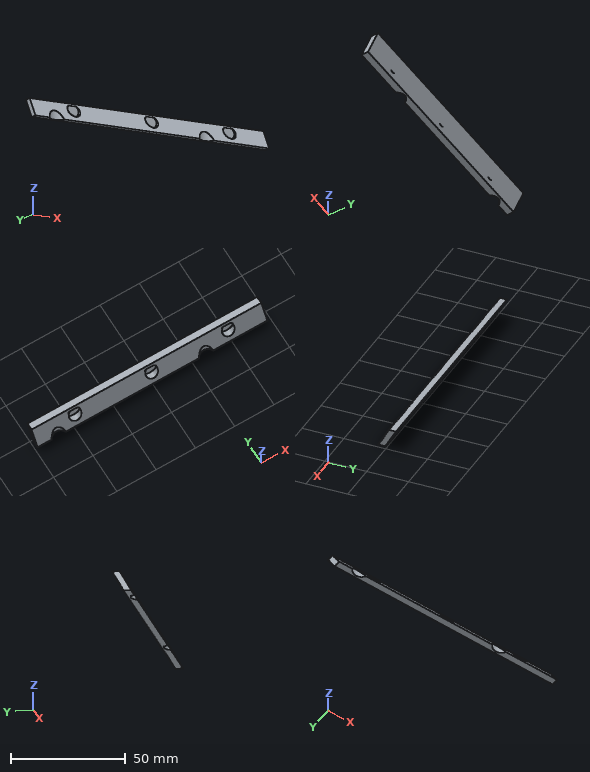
import cadquery as cq

length = 117.0
overall_depth = 8.7
height = 9.0
edge_width = 3.5
lean = overall_depth - edge_width

pocket_diameter = 6.1
pocket_first_x = 21.0
pocket_spacing = 39.0
pocket_count = 3
pocket_z = 5.4
pocket_floor_y = 4.5

notch_radius = 4.0
notch_depth = 2.3
notch_first_x = 10.8
notch_spacing = 75.0
notch_count = 2


def make_bar():
    section = [
        (0, 0),
        (edge_width, 0),
        (overall_depth, height),
        (lean, height),
    ]
    return cq.Workplane("YZ").polyline(section).close().extrude(length)


def make_pocket(x):
    return (
        cq.Workplane("XZ")
        .center(x, pocket_z)
        .circle(pocket_diameter / 2)
        .extrude(-pocket_floor_y)
    )


def make_notch(x):
    return (
        cq.Workplane("XY")
        .center(x, notch_depth - notch_radius)
        .circle(notch_radius)
        .extrude(height)
    )


result = make_bar()
for i in range(pocket_count):
    result = result.cut(make_pocket(pocket_first_x + i * pocket_spacing))
for i in range(notch_count):
    result = result.cut(make_notch(notch_first_x + i * notch_spacing))